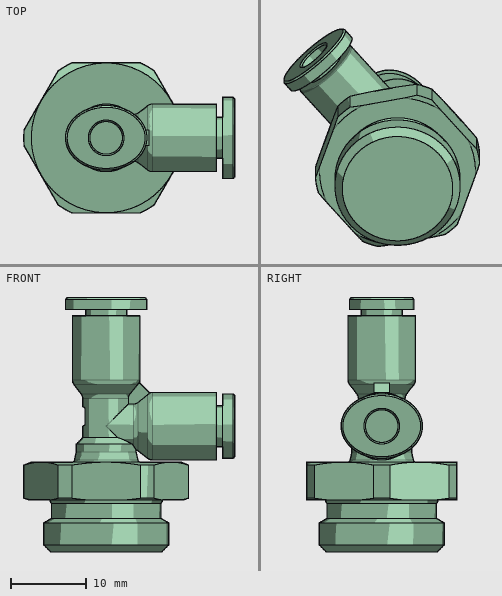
import cadquery as cq
import math


total_height = 33.9
branch_axis_z = 16.78
port_length = total_height - branch_axis_z

thread_radius = 8.35
thread_top_z = 3.9
thread_end_chamfer = 1.0
groove_radius = 7.32
groove_bottom_z = 4.5
groove_flare_height = 0.5
groove_flare_width = 0.25

hex_bottom_z = 7.0
hex_height = 5.02
hex_top_z = hex_bottom_z + hex_height
hex_across_flats = 20.0
hex_corner_radius = 11.0
hex_top_face_radius = 9.95
hex_top_chamfer_height = 0.4
hex_bottom_face_radius = 10.37
hex_bottom_chamfer_height = 0.2

stem_radius = 3.12
collar_radius = 4.0
collar_foot_radius = 4.25
collar_taper_top_z = 13.35
collar_top_z = 14.37
collar_cone_top_z = 15.3
collar_foot_fillet = 0.27

body_radius = 4.5
cone_start = 4.0
cone_end = 5.8
cone_fillet = 1.0
body_end = 14.7
body_edge_fillet = 0.1
neck_radius = 2.75
cap_thickness = 1.63
cap_long_radius = 5.42
cap_short_radius = 4.3
cap_chamfer = 0.25
bore_radius = 2.17
bore_rim_chamfer = 0.2
bore_end = cone_end

web_thickness = 2.05
web_edge_offset = 10.25

flat_distance = 2.85
flat_bottom_z = 16.95
flat_height = 2.25
flat_end_flare = 0.2


def revolve_about_z(profile):
    """Full turn of a closed (radius, z) outline about the Z axis."""
    return profile.close().revolve(360, (0, 0), (0, 1))


def make_threaded_end():
    profile = [
        (0, 0),
        (thread_radius - thread_end_chamfer, 0),
        (thread_radius, thread_end_chamfer),
        (thread_radius, thread_top_z),
        (groove_radius, groove_bottom_z),
        (groove_radius, hex_bottom_z - groove_flare_height),
        (groove_radius + groove_flare_width, hex_bottom_z),
        (0, hex_bottom_z),
    ]
    return revolve_about_z(cq.Workplane("XZ").polyline(profile))


def make_hexagon():
    across_corners = hex_across_flats / math.cos(math.radians(30))
    prism = (
        cq.Workplane("XY", origin=(0, 0, hex_bottom_z))
        .polygon(6, across_corners)
        .extrude(hex_height)
    )
    envelope_profile = [
        (0, hex_bottom_z),
        (hex_bottom_face_radius, hex_bottom_z),
        (hex_corner_radius, hex_bottom_z + hex_bottom_chamfer_height),
        (hex_corner_radius, hex_top_z - hex_top_chamfer_height),
        (hex_top_face_radius, hex_top_z),
        (0, hex_top_z),
    ]
    return prism.intersect(revolve_about_z(cq.Workplane("XZ").polyline(envelope_profile)))


def make_collar():
    profile = (
        cq.Workplane("XZ")
        .moveTo(0, hex_top_z)
        .lineTo(collar_foot_radius + collar_foot_fillet, hex_top_z)
        .radiusArc((collar_foot_radius, hex_top_z + collar_foot_fillet), collar_foot_fillet)
        .lineTo(collar_radius, collar_taper_top_z)
        .lineTo(collar_radius, collar_top_z)
        .lineTo(stem_radius, collar_cone_top_z)
        .lineTo(stem_radius, branch_axis_z)
        .lineTo(0, branch_axis_z)
    )
    return revolve_about_z(profile)


def make_port(cap_x_radius, cap_y_radius):
    """Solid port along +Z, starting at the origin, with an oval cap."""
    body_profile = [
        (0, 0),
        (stem_radius, 0),
        (stem_radius, cone_start),
        (body_radius, cone_end),
        (body_radius, body_end),
        (0, body_end),
    ]
    body = revolve_about_z(cq.Workplane("XZ").polyline(body_profile))
    cone_zone_selector = cq.selectors.BoxSelector(
        (-body_radius, -body_radius, cone_start / 2),
        (body_radius, body_radius, body_end / 2),
    )
    body = body.edges("%CIRCLE").edges(cone_zone_selector).fillet(cone_fillet)
    body = body.faces(">Z").edges().fillet(body_edge_fillet)

    cap_start = port_length - cap_thickness
    neck = cq.Workplane("XY", origin=(0, 0, body_end)).circle(neck_radius).extrude(cap_start - body_end)
    cap = (
        cq.Workplane("XY", origin=(0, 0, cap_start))
        .ellipse(cap_x_radius, cap_y_radius)
        .extrude(cap_thickness)
        .faces(">Z")
        .chamfer(cap_chamfer)
    )
    return body.union(neck).union(cap)


def make_bore():
    """Blind tube socket with a chamfered rim, along the same axis as a port."""
    profile = [
        (0, bore_end),
        (bore_radius, bore_end),
        (bore_radius, port_length - bore_rim_chamfer),
        (bore_radius + bore_rim_chamfer, port_length),
        (0, port_length),
    ]
    return revolve_about_z(cq.Workplane("XZ").polyline(profile))


def place_upright(shape):
    return shape.translate((0, 0, branch_axis_z))


def place_sideways(shape):
    return shape.rotate((0, 0, 0), (0, 1, 0), 90).translate((0, 0, branch_axis_z))


def make_web():
    edge_end = web_edge_offset - body_radius
    return (
        cq.Workplane("XZ", origin=(0, 0, branch_axis_z))
        .polyline([(0, 0), (edge_end, 0), (edge_end, body_radius), (body_radius, edge_end), (0, edge_end)])
        .close()
        .extrude(web_thickness / 2, both=True)
    )


def make_flat_cutter():
    depth = stem_radius - flat_distance
    flat_top_z = flat_bottom_z + flat_height
    return (
        cq.Workplane("XZ")
        .polyline([
            (-flat_distance, flat_bottom_z),
            (-flat_distance, flat_top_z),
            (-flat_distance - depth, flat_top_z + flat_end_flare),
            (-flat_distance - depth, flat_bottom_z - flat_end_flare),
        ])
        .close()
        .extrude(stem_radius, both=True)
    )


result = (
    make_threaded_end()
    .union(make_hexagon())
    .union(make_collar())
    .union(place_upright(make_port(cap_long_radius, cap_short_radius)))
    .union(place_sideways(make_port(cap_short_radius, cap_long_radius)))
    .union(make_web())
    .cut(place_upright(make_bore()))
    .cut(place_sideways(make_bore()))
    .cut(make_flat_cutter())
)